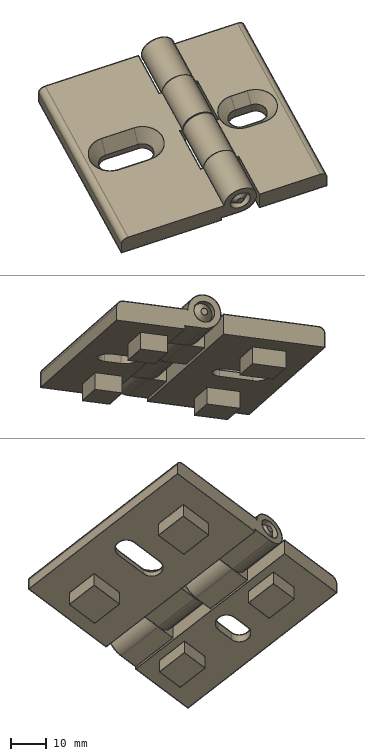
import cadquery as cq
import math


length = 60.0
barrel_radius = 5.0
knuckle_gap = 0.3
pin_radius = 3.1
pin_tip_radius = 1.0
pin_tip_length = pin_radius - pin_tip_radius

leaf_thickness = 6.0
rear_reach = 26.5
front_reach = 36.5
inner_edge = 5.85
edge_radius = 2.0

slot_width = 6.4
countersink_width = 12.3
rear_slot_ends = (12.4, 17.4)
rear_sink_depth = (countersink_width - slot_width) / 2
front_slot_ends = (-27.3, -17.3)
front_sink_depth = 4.1

lug_length = 10.0
lug_height = 5.05
lug_offset = 17.95
rear_lug_width = 8.2
rear_lug_y = 12.5
front_lug_width = 10.0
front_lug_y = sum(front_slot_ends) / 2

end = length / 2
knuckle_joint = length / 4
half_gap = knuckle_gap / 2
rear_knuckles = [(-end, -knuckle_joint), (half_gap, knuckle_joint)]
front_knuckles = [(-knuckle_joint, -half_gap), (knuckle_joint, end)]


def plate(side, reach):
    """Flat part of a leaf on the given side (+1 or -1) of the axis, outer top edge rounded."""
    width = reach - inner_edge
    slab = cq.Workplane("XY").box(length, width, leaf_thickness)
    slab = slab.faces(">Y" if side > 0 else "<Y").edges(">Z").fillet(edge_radius)
    return slab.translate((0, side * (inner_edge + width / 2), -leaf_thickness / 2))


def knuckle(side, start, stop):
    """Barrel section from start to stop along X, joined to the inner edge of its plate."""
    section = cq.Workplane("YZ", origin=(start, 0, 0))
    barrel = section.circle(barrel_radius).extrude(stop - start)
    web = section.center(side * inner_edge / 2, -barrel_radius / 2)
    web = web.rect(inner_edge, barrel_radius).extrude(stop - start)
    return barrel.union(web)


def countersunk_slot(end_centres, sink_depth):
    """Cutter for a slot along Y through a leaf, countersunk from the top."""
    low_y, high_y = end_centres
    travel = high_y - low_y
    sketch_plane = cq.Workplane("XY", origin=(0, (low_y + high_y) / 2, 0))
    slot = sketch_plane.slot2D(travel + slot_width, slot_width, 90).extrude(-leaf_thickness)
    wall_angle = math.degrees(math.atan((countersink_width - slot_width) / 2 / sink_depth))
    sink = sketch_plane.slot2D(travel + countersink_width, countersink_width, 90)
    return slot.union(sink.extrude(-sink_depth, taper=wall_angle))


def leaf(side, reach, knuckles, slot):
    """Plate with its knuckles, bored for the pin and cut by the given slot."""
    body = plate(side, reach)
    for start, stop in knuckles:
        body = body.union(knuckle(side, start, stop))
    bore = cq.Workplane("YZ", origin=(-end, 0, 0)).circle(pin_radius).extrude(length)
    return body.cut(bore).cut(slot)


def hinge_pin():
    """Pin that fills the bore, each end a truncated cone whose tip is flush with the barrel."""
    shoulder = end - pin_tip_length
    half_profile = [
        (-end, 0),
        (-end, pin_tip_radius),
        (-shoulder, pin_radius),
        (shoulder, pin_radius),
        (end, pin_tip_radius),
        (end, 0),
    ]
    return cq.Workplane("XY").polyline(half_profile).close().revolve(360, (0, 0, 0), (1, 0, 0))


def lug(x, y, width):
    """Rectangular block against the underside of a leaf."""
    block = cq.Workplane("XY").box(lug_length, width, lug_height)
    return block.translate((x, y, -leaf_thickness - lug_height / 2))


rear_slot = countersunk_slot(rear_slot_ends, rear_sink_depth)
front_slot = countersunk_slot(front_slot_ends, front_sink_depth)
rear_leaf = leaf(1, rear_reach, rear_knuckles, rear_slot)
front_leaf = leaf(-1, front_reach, front_knuckles, front_slot)
pin = hinge_pin()

lugs = []
for y, width in [(rear_lug_y, rear_lug_width), (front_lug_y, front_lug_width)]:
    for x in (-lug_offset, lug_offset):
        lugs.append(lug(x, y, width).val())

result = cq.Compound.makeCompound([rear_leaf.val(), front_leaf.val(), pin.val(), *lugs])